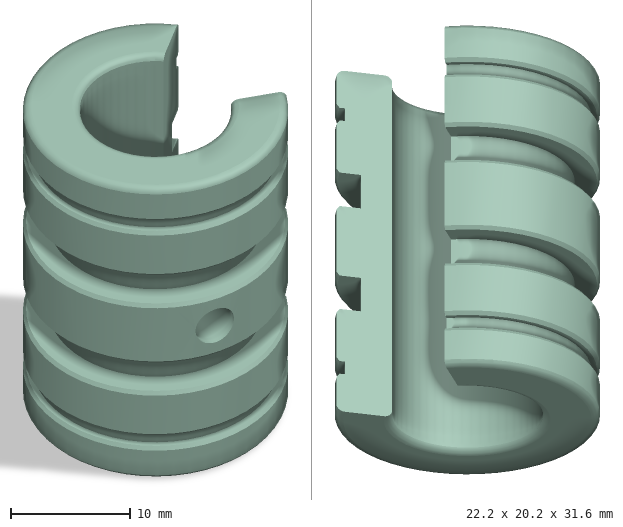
import cadquery as cq
import math

length = 31.55
outer_radius = 11.1
liner_outer_radius = 7.0
bore_radius = 6.35

end_rounding_height = 0.47
housing_rounding_radial = 0.7

seal_groove_start = 3.47
seal_groove_end = 4.65
seal_groove_radius = 10.38
wide_groove_start = 9.47
wide_groove_end = 12.55
wide_groove_radius = 9.0
land_chamfer_radial = 0.25
land_chamfer_height = 0.3

opening_half_angle = 30.0
opening_apex_y = -2.0

hole_diameter = 3.6
hole_direction = -18.0


def rounded_sleeve(end_face_radius, wall_radius, plain_radius):
    """Sleeve about Z whose wall_radius side is rounded into both end faces.

    The rounding runs from end_face_radius to wall_radius; plain_radius is the opposite wall.
    """
    radial_run = wall_radius - end_face_radius
    half_angle = math.atan(end_rounding_height / abs(radial_run))
    mid_radius = end_face_radius + radial_run * math.sin(half_angle) / math.sin(2 * half_angle)
    mid_drop = end_rounding_height * (1 - math.cos(half_angle)) / (1 - math.cos(2 * half_angle))

    profile = (
        cq.Workplane("XZ")
        .moveTo(plain_radius, 0)
        .lineTo(plain_radius, length)
    )
    if end_face_radius != plain_radius:
        profile = profile.lineTo(end_face_radius, length)
    profile = (
        profile
        .threePointArc((mid_radius, length - mid_drop), (wall_radius, length - end_rounding_height))
        .lineTo(wall_radius, end_rounding_height)
        .threePointArc((mid_radius, mid_drop), (end_face_radius, 0))
    )
    return profile.close().revolve(360, (0, 0), (0, 1))


def groove_cutter(start, end, floor_radius):
    """Ring that cuts a groove and chamfers the land edges on both sides of it."""
    chamfer_inner = outer_radius - land_chamfer_radial
    profile = [
        (floor_radius, start),
        (chamfer_inner, start),
        (outer_radius, start - land_chamfer_height),
        (outer_radius, end + land_chamfer_height),
        (chamfer_inner, end),
        (floor_radius, end),
    ]
    return cq.Workplane("XZ").polyline(profile).close().revolve(360, (0, 0), (0, 1))


def opening_cutter():
    """Wedge that opens the bearing along its length."""
    reach = 2 * outer_radius
    half_width = reach * math.tan(math.radians(opening_half_angle))
    corners = [
        (0, opening_apex_y),
        (half_width, opening_apex_y + reach),
        (-half_width, opening_apex_y + reach),
    ]
    return cq.Workplane("XY").polyline(corners).close().extrude(length)


def radial_hole_cutter():
    """Cylinder from the axis out through the housing wall at mid-length."""
    hole = cq.Workplane("YZ").center(0, length / 2).circle(hole_diameter / 2).extrude(2 * outer_radius)
    return hole.rotate((0, 0, 0), (0, 0, 1), hole_direction)


def make_housing():
    end_face_radius = outer_radius - housing_rounding_radial
    housing = rounded_sleeve(end_face_radius, outer_radius, liner_outer_radius)

    grooves = (
        (seal_groove_start, seal_groove_end, seal_groove_radius),
        (wide_groove_start, wide_groove_end, wide_groove_radius),
    )
    for start, end, floor_radius in grooves:
        housing = housing.cut(groove_cutter(start, end, floor_radius))
        housing = housing.cut(groove_cutter(length - end, length - start, floor_radius))

    return housing.cut(radial_hole_cutter()).cut(opening_cutter())


def make_liner():
    """Thin sleeve whose ends are rounded over its whole thickness."""
    liner = rounded_sleeve(liner_outer_radius, bore_radius, liner_outer_radius)
    return liner.cut(opening_cutter())


housing = make_housing()
liner = make_liner()

result = cq.Compound.makeCompound([housing.val(), liner.val()])